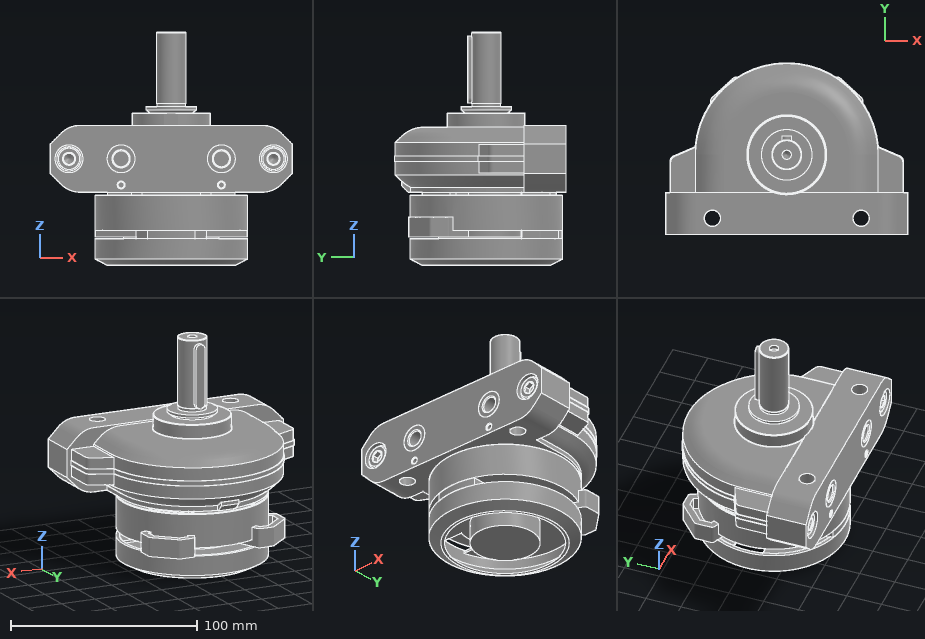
import cadquery as cq
import math


pick_margin = 1.3
mid_z = 57.2

plate_width = 130.0
plate_height = 36.0
plate_front_y = -42.9
plate_back_y = -20.3
plate_corner_cut = 10.1
plate_corner_radius = 14.3
cross_hole_diameter = 8.6
cross_hole_x = 39.9
cross_hole_y = -34.0
mount_hole_x = 26.9
mount_hole_diameter = 8.6
mount_hole_mouth = 10.0
mount_hole_depth = 15.6
spot_face_diameter = 15.0
spot_face_depth = 0.1
pin_hole_z = 43.2
pin_hole_diameter = 3.2
pin_hole_mouth = 4.2
pin_hole_depth = 7.8

screw_x = 54.9
counterbore_diameter = 15.0
counterbore_depth = 11.7
head_diameter = 13.0
head_recess = 1.2
head_edge_cut = 0.8
shank_diameter = 8.6
shank_length = 15.6
socket_diameter = 7.0
socket_drill_diameter = 6.0
socket_depth = 3.9
socket_mouth_depth = 0.5

dome_radius = 49.0
dome_flat_radius = 33.4
dome_half_height = 17.0
dome_bend_radius = 17.3
dome_side_half_height = 8.7
flange_diameter = 82.0
bead_height = 2.9
bead_step = 0.4
pad_half_width = 62.3
pad_height = 15.2
pad_corner_y = -1.8
pad_slope_top_y = 4.0
pad_corner_radius = 3.2
lug_half_width = 5.2
lug_reach = 45.5
lug_height = 5.7
lug_cut = 3.6
collar_radius = 21.0
collar_top_z = 81.9
collar_edge_cut = 0.4
collar_flat_width = 7.4
collar_recess_radius = 21.5
collar_recess_z = 73.8

shaft_diameter = 16.0
shaft_top_z = 125.2
shaft_edge_cut = 0.4
seal_diameter = 27.2
seal_foot_diameter = 23.4
seal_rim_z = 83.5
seal_top_z = 85.2
neck_diameter = 15.5
neck_height = 1.8
center_hole_diameter = 5.0
center_hole_depth = 2.6
key_width = 5.2
key_length = 36.0
key_bottom_z = 87.1
key_top_y = 10.0

drum_diameter = 82.0
cap_bore_diameter = 78.0
cap_top_z = 14.3
cap_chamfer_height = 3.4
cap_foot_radius = 34.5
cap_mouth_radius = 32.5
cap_inner_cone_height = 6.5
cap_core_radius = 25.7
cap_floor_top_z = 13.6
cap_floor = 1.3
block_radius = 40.8
block_bend_radius = 2.0
ear_corner_radius = 1.8
window_front_y = -7.8
window_back_y = 9.1
arm_bottom_z = 15.2
drum_bottom_z = 18.8
drum_top_z = 37.8
drum_edge_cut = 0.4
hub_radius = 18.8
ear_top_z = 25.9
ear_wall = 3.6
ear_side_x = 40.8
ear_side_corner_y = 19.6
ear_back_y = 41.7

plate_bottom_z = mid_z - plate_height / 2
housing_bottom_z = plate_bottom_z
drum_radius = drum_diameter / 2
head_front_y = plate_front_y + head_recess
head_seat_y = plate_front_y + counterbore_depth
collar_flat_y = -math.sqrt(collar_radius**2 - (collar_flat_width / 2) ** 2)
socket_cone_depth = socket_drill_diameter / 2 * math.tan(math.radians(30))


def rod(diameter, x, z, start_y, length):
    """Cylinder along +Y that starts at start_y."""
    plane = cq.Plane(origin=(x, start_y, z), xDir=(1, 0, 0), normal=(0, 1, 0))
    return cq.Workplane(plane).circle(diameter / 2).extrude(length)


def cone_along_y(start_diameter, end_diameter, x, z, start_y, length):
    """Cone along +Y that starts at start_y."""
    base = cq.Vector(x, start_y, z)
    cone = cq.Solid.makeCone(start_diameter / 2, end_diameter / 2, length, base, cq.Vector(0, 1, 0))
    return cq.Workplane(cone)


def disc(radius, bottom_z, top_z):
    """Cylinder around the shaft axis."""
    return cq.Workplane("XY").workplane(offset=bottom_z).circle(radius).extrude(top_z - bottom_z)


def prism(points, bottom_z, top_z):
    """Straight prism over an outline in plan."""
    return cq.Workplane("XY").workplane(offset=bottom_z).polyline(points).close().extrude(top_z - bottom_z)


def mirrored(points):
    """Same outline on the other side of the YZ plane."""
    return [(-x, y) for x, y in points]


def dome_profile():
    """Half section of the housing, from the axis outward."""
    sin45 = math.sin(math.radians(45))
    top_z = mid_z + dome_half_height
    bottom_z = mid_z - dome_half_height
    flange_radius = flange_diameter / 2
    bend_end_x = dome_flat_radius + dome_bend_radius * sin45
    bend_drop = dome_bend_radius * (1 - sin45)
    half_angle = math.radians(45 / 2)
    bend_mid_x = dome_flat_radius + dome_bend_radius * math.sin(half_angle)
    bend_mid_drop = dome_bend_radius * (1 - math.cos(half_angle))
    flange_angle = math.asin((flange_radius - dome_flat_radius) / dome_bend_radius)
    flange_drop = dome_bend_radius * (1 - math.cos(flange_angle))
    low_mid_angle = (flange_angle + math.radians(45)) / 2
    low_mid_x = dome_flat_radius + dome_bend_radius * math.sin(low_mid_angle)
    low_mid_drop = dome_bend_radius * (1 - math.cos(low_mid_angle))
    return (
        cq.Workplane("XZ")
        .moveTo(0, housing_bottom_z)
        .lineTo(flange_radius, housing_bottom_z)
        .lineTo(flange_radius, bottom_z + flange_drop)
        .threePointArc((low_mid_x, bottom_z + low_mid_drop), (bend_end_x, bottom_z + bend_drop))
        .lineTo(dome_radius, mid_z - dome_side_half_height)
        .lineTo(dome_radius, mid_z + dome_side_half_height)
        .lineTo(bend_end_x, top_z - bend_drop)
        .threePointArc((bend_mid_x, top_z - bend_mid_drop), (dome_flat_radius, top_z))
        .lineTo(0, top_z)
        .close()
    )


def make_dome():
    """Round rear half and the straight part that runs forward to the plate."""
    round_part = dome_profile().revolve(360, (0, 0, 0), (0, 1, 0))
    front_half = (
        cq.Workplane("XY")
        .box(2 * plate_width, plate_width, 2 * plate_width, centered=(True, False, True))
        .translate((0, -plate_width, 0))
    )
    straight_part = dome_profile().extrude(-plate_back_y)
    return round_part.cut(front_half).union(straight_part).union(straight_part.mirror("YZ"))


def make_pads(growth, height):
    """Side pads behind the plate ends, with the outline grown sideways and rearward."""
    side_x = pad_half_width + growth
    outline = [
        (-side_x, plate_back_y),
        (-side_x, pad_corner_y + growth),
        (-dome_radius, pad_slope_top_y + growth),
        (dome_radius, pad_slope_top_y + growth),
        (side_x, pad_corner_y + growth),
        (side_x, plate_back_y),
    ]
    pads = prism(outline, mid_z - height / 2, mid_z + height / 2)
    for side in (-1, 1):
        near_corner = cq.selectors.BoxSelector(
            (side * (side_x - pick_margin), pad_corner_y - pick_margin, 0),
            (side * (side_x + pick_margin), pad_corner_y + pick_margin, plate_width),
        )
        pads = pads.edges("|Z").edges(near_corner).fillet(pad_corner_radius)
    return pads


def make_bead():
    """Raised band along the split plane, around the dome and the pads."""
    bottom_z = mid_z - bead_height / 2
    top_z = mid_z + bead_height / 2
    radius = dome_radius + bead_step
    front_outline = [(-radius, plate_back_y), (-radius, 0), (radius, 0), (radius, plate_back_y)]
    straight = prism(front_outline, bottom_z, top_z)
    rear_half = prism([(-radius, 0), (-radius, radius), (radius, radius), (radius, 0)], bottom_z, top_z)
    rounded = disc(radius, bottom_z, top_z).intersect(rear_half)
    return rounded.union(straight).union(make_pads(bead_step, bead_height))


def make_plate():
    """Mounting plate with cut and rounded ends."""
    half_width = plate_width / 2
    half_height = plate_height / 2
    cut_x = half_width - plate_corner_cut
    cut_z = half_height - plate_corner_cut
    outline = [
        (-half_width, -cut_z), (-half_width, cut_z), (-cut_x, half_height), (cut_x, half_height),
        (half_width, cut_z), (half_width, -cut_z), (cut_x, -half_height), (-cut_x, -half_height),
    ]
    plane = cq.Plane(origin=(0, plate_front_y, mid_z), xDir=(1, 0, 0), normal=(0, -1, 0))
    plate = cq.Workplane(plane).polyline(outline).close().extrude(plate_front_y - plate_back_y)
    for side in (-1, 1):
        corner = cq.selectors.BoxSelector(
            (side * (cut_x - pick_margin), plate_front_y, 0),
            (side * (cut_x + pick_margin), plate_back_y, plate_width),
        )
        plate = plate.edges("|Y").edges(corner).fillet(plate_corner_radius)
    return plate


def mouthed_hole(diameter, mouth_diameter, x, z, depth):
    """Blind hole in the plate front with a chamfered mouth."""
    mouth_depth = (mouth_diameter - diameter) / 2
    hole = rod(diameter, x, z, plate_front_y, depth)
    mouth = cone_along_y(mouth_diameter, diameter, x, z, plate_front_y, mouth_depth)
    return hole.union(mouth)


def make_housing():
    lug = (
        cq.Workplane("XY")
        .box(2 * lug_half_width, lug_reach, lug_height, centered=(True, False, False))
        .edges(">Y and <Z").chamfer(lug_cut)
        .translate((0, 0, housing_bottom_z))
    )
    collar = disc(collar_radius, mid_z, collar_top_z).faces(">Z").edges().chamfer(collar_edge_cut)
    collar_front = cq.Workplane("XY").box(plate_width, plate_width, plate_width)
    collar_front = collar_front.translate((0, collar_flat_y - plate_width / 2, collar_top_z))
    body = (
        make_dome()
        .union(make_pads(0, pad_height))
        .union(make_bead())
        .union(lug)
        .union(make_plate())
        .cut(disc(collar_recess_radius, collar_recess_z, collar_top_z))
        .union(collar.cut(collar_front))
    )
    for side in (-1, 1):
        cross_hole = disc(cross_hole_diameter / 2, plate_bottom_z, plate_bottom_z + plate_height)
        body = body.cut(cross_hole.translate((side * cross_hole_x, cross_hole_y, 0)))
        mount_x = side * mount_hole_x
        body = body.cut(mouthed_hole(mount_hole_diameter, mount_hole_mouth, mount_x, mid_z, mount_hole_depth))
        body = body.cut(rod(spot_face_diameter, mount_x, mid_z, plate_front_y, spot_face_depth))
        body = body.cut(mouthed_hole(pin_hole_diameter, pin_hole_mouth, mount_x, pin_hole_z, pin_hole_depth))
        screw_pos = side * screw_x
        body = body.cut(rod(counterbore_diameter, screw_pos, mid_z, plate_front_y, counterbore_depth))
        body = body.cut(rod(shank_diameter, screw_pos, mid_z, head_seat_y, shank_length))
    return body.cut(disc(shaft_diameter / 2, housing_bottom_z, collar_top_z))


def make_screw(x):
    """Socket head screw seated in the counterbore, pointing along +Y."""
    head = rod(head_diameter, x, mid_z, head_front_y, head_seat_y - head_front_y)
    head = head.faces("<Y").edges().chamfer(head_edge_cut)
    shank = rod(shank_diameter, x, mid_z, head_seat_y, shank_length)
    socket_plane = cq.Plane(origin=(x, head_front_y, mid_z), xDir=(0, 0, 1), normal=(0, 1, 0))
    socket = cq.Workplane(socket_plane).polygon(6, socket_diameter).extrude(socket_depth)
    mouth = cone_along_y(socket_diameter, socket_drill_diameter, x, mid_z, head_front_y, socket_mouth_depth)
    tip = cone_along_y(socket_drill_diameter, 0, x, mid_z, head_front_y + socket_depth, socket_cone_depth)
    return head.union(shank).cut(socket).cut(mouth).cut(tip)


def make_shaft():
    """Shaft with sealing ring, centre hole and round-ended key."""
    radius = shaft_diameter / 2
    neck_top_z = seal_top_z + neck_height
    profile = [
        (0, housing_bottom_z), (radius, housing_bottom_z), (radius, collar_top_z),
        (seal_foot_diameter / 2, collar_top_z), (seal_diameter / 2, seal_rim_z),
        (seal_diameter / 2, seal_top_z), (neck_diameter / 2, seal_top_z), (neck_diameter / 2, neck_top_z),
        (radius, neck_top_z),
        (radius, shaft_top_z - shaft_edge_cut), (radius - shaft_edge_cut, shaft_top_z), (0, shaft_top_z),
    ]
    shaft = cq.Workplane("XZ").polyline(profile).close().revolve(360, (0, 0, 0), (0, 1, 0))
    key_plane = cq.Plane(
        origin=(0, 0, key_bottom_z + key_length / 2), xDir=(0, 0, 1), normal=(0, 1, 0)
    )
    key = cq.Workplane(key_plane).slot2D(key_length, key_width).extrude(key_top_y)
    hole_radius = center_hole_diameter / 2
    hole_bottom_z = shaft_top_z - center_hole_depth
    hole_profile = [
        (0, shaft_top_z), (hole_radius, shaft_top_z),
        (hole_radius, hole_bottom_z), (0, hole_bottom_z - hole_radius),
    ]
    hole = cq.Workplane("XZ").polyline(hole_profile).close().revolve(360, (0, 0, 0), (0, 1, 0))
    return shaft.union(key).cut(hole)


ear_outline = [
    (-18.8, 9.5), (-ear_side_x, ear_side_corner_y), (-ear_side_x, 30.0),
    (-28.1, ear_back_y), (-19.2, ear_back_y), (-9.5, 18.8),
]
upper_arm_outline = [(-18.8, 9.5), (-34.3, 16.2), (-34.3, 19.5), (-19.5, 34.5), (-16.2, 34.5), (-9.5, 18.8)]
block_outline = [(12.7, -41.6), (12.7, -29.0), (18.8, -19.0)]
upper_block_outline = [(15.6, -37.7), (15.6, -34.3), (21.5, -19.0)]
upper_block_radius = 37.7


def make_block(outline, radius, bottom_z, top_z):
    """Front spoke between hub and rim, symmetric about the YZ plane."""
    left_half = mirrored(outline)[::-1]
    spoke = prism(outline + left_half, bottom_z, top_z)
    bend_y = outline[1][1]
    bends = cq.selectors.BoxSelector(
        (-radius, bend_y - pick_margin, 0),
        (radius, bend_y + pick_margin, housing_bottom_z),
    )
    spoke = spoke.edges("|Z").edges(bends).fillet(block_bend_radius)
    return spoke.intersect(disc(radius, bottom_z, top_z))


def make_cap():
    """Lower rim with a recessed floor that is open at both sides."""
    floor_bottom_z = cap_floor_top_z - cap_floor
    bore_radius = cap_bore_diameter / 2
    rim_section = [
        (cap_foot_radius, 0), (drum_radius, cap_chamfer_height), (drum_radius, cap_top_z),
        (bore_radius, cap_top_z), (bore_radius, cap_inner_cone_height), (cap_mouth_radius, 0),
    ]
    rim = cq.Workplane("XZ").polyline(rim_section).close().revolve(360, (0, 0, 0), (0, 1, 0))
    window_band = [
        (-drum_radius, window_front_y), (drum_radius, window_front_y),
        (drum_radius, window_back_y), (-drum_radius, window_back_y),
    ]
    windows = prism(window_band, floor_bottom_z, cap_floor_top_z)
    floor = disc(bore_radius, floor_bottom_z, cap_floor_top_z).cut(windows)
    return rim.union(floor).union(disc(cap_core_radius, floor_bottom_z, arm_bottom_z))


def make_ear(outline):
    """Arm under the drum that rises outside it as an open tray."""
    ear = prism(outline, arm_bottom_z, ear_top_z)
    outer_corners = cq.selectors.BoxSelector(
        (-drum_radius, ear_side_corner_y - pick_margin, 0),
        (drum_radius, ear_back_y + pick_margin, ear_top_z),
    )
    ear = ear.edges("|Z").edges(outer_corners).fillet(ear_corner_radius)
    pocket = (
        cq.Workplane("XY").workplane(offset=drum_bottom_z)
        .polyline(outline).close().offset2D(-ear_wall).extrude(ear_top_z - drum_bottom_z)
    )
    return ear.cut(pocket)


def make_drum():
    drum = disc(drum_radius, drum_bottom_z, drum_top_z).faces(">Z").edges().chamfer(drum_edge_cut)
    drum = drum.union(make_cap())
    drum = drum.union(disc(hub_radius, 0, drum_bottom_z))
    drum = drum.union(disc(hub_radius, drum_top_z, housing_bottom_z))
    drum = drum.union(make_block(block_outline, block_radius, cap_floor_top_z, drum_bottom_z))
    drum = drum.union(make_block(upper_block_outline, upper_block_radius, drum_top_z, housing_bottom_z))
    for outline in (ear_outline, mirrored(ear_outline)):
        drum = drum.union(make_ear(outline))
    for outline in (upper_arm_outline, mirrored(upper_arm_outline)):
        drum = drum.union(prism(outline, drum_top_z, housing_bottom_z))
    return drum


housing = make_housing()
shaft = make_shaft()
drum = make_drum()
screws = [make_screw(side * screw_x) for side in (-1, 1)]

result = cq.Compound.makeCompound([
    housing.val(),
    shaft.val(),
    drum.val(),
    *[screw.val() for screw in screws],
])